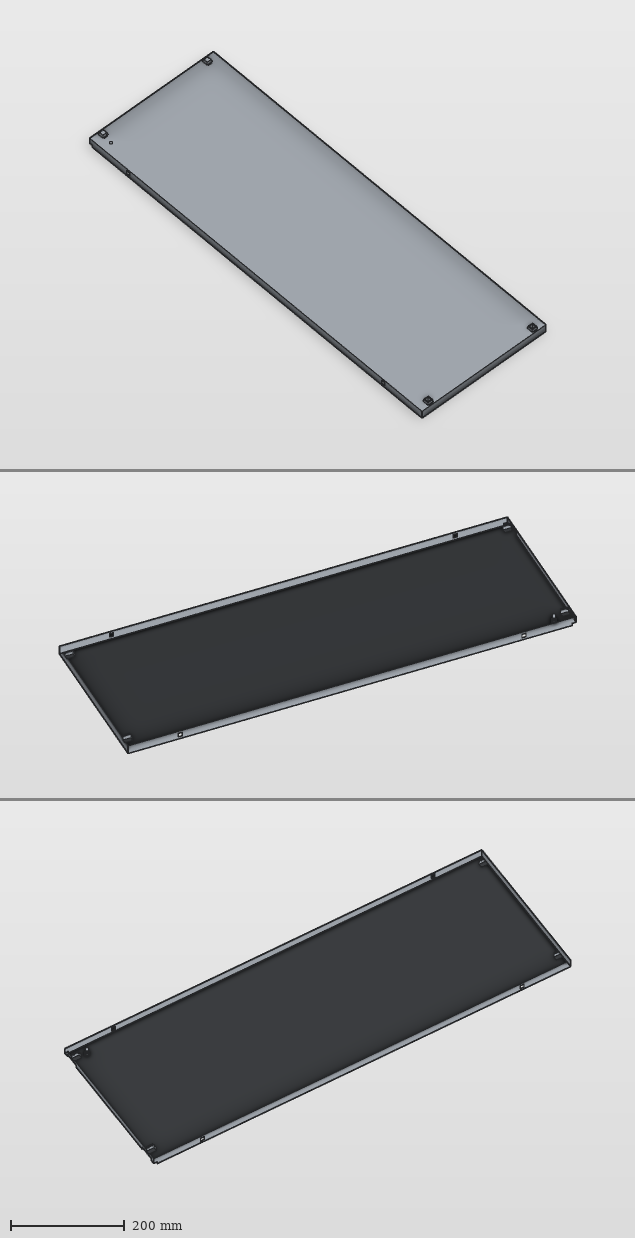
import cadquery as cq

LENGTH = 865.0
WIDTH = 298.0
PANEL_HEIGHT = 18.0
SHEET = 1.0
BEND_RADIUS = 0.95

END_FLANGE_BOTTOM = 5.0
CORNER_STEP_LENGTH = 8.0
NOTCH_WIDTH = 29.0
NOTCH_TOP = 10.0

WINDOW_SIZE = 8.0
WINDOW_FROM_END = 101.0
WINDOW_MIDDLE = PANEL_HEIGHT / 2

OVERALL_HEIGHT = 23.0
BUFFER_FROM_END = 10.0
BUFFER_FROM_SIDE = 24.0
HEAD_WIDTH = 13.0
PLAIN_HEAD_TOP_WIDTH = 9.5
SOCKET_HEAD_TOP_WIDTH = 11.0
SOCKET_WIDTH = 8.0
SOCKET_FLOOR_WIDTH = 3.0
NECK_WIDTH = 8.0
FOOT_LENGTH = 16.0
FOOT_HEIGHT = 8.1

STUD_X = 34.0
STUD_Y = 22.0
STUD_DIAMETER = 6.0
STUD_BOTTOM = 1.0
NUT_CORNER_DIAMETER = 10.0
NUT_BOTTOM = 2.0
NUT_THICKNESS = 4.0

plate_underside = PANEL_HEIGHT - SHEET
near_x = BUFFER_FROM_END
far_x = LENGTH - BUFFER_FROM_END
buffer_rows = (BUFFER_FROM_SIDE, WIDTH - BUFFER_FROM_SIDE)


def block(x_range, y_range, z_range):
    """Axis-aligned block between the given limits."""
    sizes = [high - low for low, high in (x_range, y_range, z_range)]
    corner = (x_range[0], y_range[0], z_range[0])
    return cq.Workplane("XY").box(*sizes, centered=False).translate(corner)


def around(middle, size):
    """Limits of a span of the given size about its middle."""
    return (middle - size / 2, middle + size / 2)


def make_tray():
    """Plate with four flanges, the top edges rounded by the bends and the corners left open."""
    tray = block((0, LENGTH), (0, WIDTH), (0, PANEL_HEIGHT)).faces(">Z").edges().fillet(BEND_RADIUS)
    tray = tray.cut(block((SHEET, LENGTH - SHEET), (SHEET, WIDTH - SHEET), (0, plate_underside)))
    for x in (0, LENGTH - SHEET):
        for y in (0, WIDTH - SHEET):
            tray = tray.cut(block((x, x + SHEET), (y, y + SHEET), (0, PANEL_HEIGHT)))
    return tray


def cut_near_end(tray):
    """Raise the lower edge at the -X end, and raise it further beside the buffers."""
    tray = tray.cut(block((0, CORNER_STEP_LENGTH), (0, WIDTH), (0, END_FLANGE_BOTTOM)))
    for y in buffer_rows:
        tray = tray.cut(block((0, SHEET), around(y, NOTCH_WIDTH), (0, NOTCH_TOP)))
    return tray


def cut_windows(tray):
    for x in (WINDOW_FROM_END, LENGTH - WINDOW_FROM_END):
        window = block(around(x, WINDOW_SIZE), (0, WIDTH), around(WINDOW_MIDDLE, WINDOW_SIZE))
        tray = tray.cut(window)
    return tray


def cut_neck_holes(tray):
    for x in (near_x, far_x):
        for y in buffer_rows:
            hole = block(around(x, NECK_WIDTH), around(y, NECK_WIDTH), (plate_underside, PANEL_HEIGHT))
            tray = tray.cut(hole)
    return tray


def tapered_block(x, y, lower_width, upper_width):
    """Square block on the plate, as high as a head, tapering from its lower to its upper width."""
    return (
        cq.Workplane("XY", origin=(x, y, PANEL_HEIGHT))
        .rect(lower_width, lower_width)
        .workplane(offset=OVERALL_HEIGHT - PANEL_HEIGHT)
        .rect(upper_width, upper_width)
        .loft()
    )


def make_buffer(x, y, head):
    """Join a head, the neck that fills the hole in the plate and the foot below it."""
    neck = block(around(x, NECK_WIDTH), around(y, NECK_WIDTH), (plate_underside, PANEL_HEIGHT))
    foot_heights = (plate_underside - FOOT_HEIGHT, plate_underside)
    foot = block(around(x, FOOT_LENGTH), around(y, NECK_WIDTH), foot_heights)
    return head.union(neck).union(foot)


def make_plain_buffer(x, y):
    return make_buffer(x, y, tapered_block(x, y, HEAD_WIDTH, PLAIN_HEAD_TOP_WIDTH))


def make_socket_buffer(x, y):
    """Buffer whose head has a tapered square socket down to the level of the plate."""
    head = tapered_block(x, y, HEAD_WIDTH, SOCKET_HEAD_TOP_WIDTH)
    socket = tapered_block(x, y, SOCKET_FLOOR_WIDTH, SOCKET_WIDTH)
    return make_buffer(x, y, head.cut(socket))


def make_stud():
    stud = cq.Workplane("XY", origin=(STUD_X, STUD_Y, STUD_BOTTOM)).circle(STUD_DIAMETER / 2)
    return stud.extrude(plate_underside - STUD_BOTTOM)


def make_nut():
    nut = cq.Workplane("XY", origin=(STUD_X, STUD_Y, NUT_BOTTOM)).polygon(6, NUT_CORNER_DIAMETER)
    return nut.circle(STUD_DIAMETER / 2).extrude(NUT_THICKNESS)


panel = cut_neck_holes(cut_windows(cut_near_end(make_tray())))
plain_buffers = [make_plain_buffer(near_x, y).val() for y in buffer_rows]
socket_buffers = [make_socket_buffer(far_x, y).val() for y in buffer_rows]
stud = make_stud()
nut = make_nut()

result = cq.Compound.makeCompound(
    [panel.val(), *plain_buffers, *socket_buffers, stud.val(), nut.val()]
)